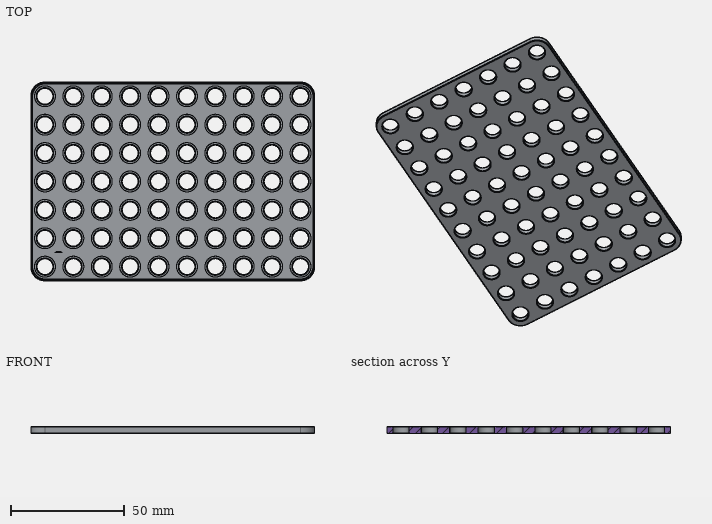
import cadquery as cq

pitch = 12.5
columns = 10
rows = 7
length = columns * pitch
width = rows * pitch
thickness = 3.1
corner_radius = pitch / 2

chamfer = 0.3
hole_diameter = 7.0

recess_depth = 0.2
border_width = 0.8
ring_land = 0.8
ring_diameter = hole_diameter + 2 * (chamfer + ring_land)

notch_base = 3.0
notch_top = 1.8
notch_height = 0.5
notch_depth = 0.2
notch_center_x = -length / 2 + pitch - 0.2
notch_center_y = -width / 2 + pitch + 0.1


def rounded_block(block_length, block_width, block_height, radius, bottom):
    """Block with rounded vertical edges whose lower face lies at Z = bottom."""
    return (
        cq.Workplane("XY", origin=(0, 0, bottom))
        .box(block_length, block_width, block_height, centered=(True, True, False))
        .edges("|Z")
        .fillet(radius)
    )


def cut_at_holes(body, cutter):
    """Cut a copy of the cutter, which is centred on the Z axis, at every hole position."""
    cutters = (
        cq.Workplane("XY")
        .rarray(pitch, pitch, columns, rows)
        .eachpoint(lambda location: cutter.val().moved(location))
    )
    return body.cut(cutters)


def make_plate():
    plate = rounded_block(length, width, thickness, corner_radius, 0)
    return plate.faces("<Z or >Z").edges().chamfer(chamfer)


def make_recess():
    """Thin layer to remove from the top face: inset from the plate edge and clear of the rings."""
    floor = thickness - recess_depth
    layer = rounded_block(
        length - 2 * border_width,
        width - 2 * border_width,
        recess_depth,
        corner_radius - border_width,
        floor,
    )
    ring = cq.Workplane("XY", origin=(0, 0, floor)).circle(ring_diameter / 2).extrude(recess_depth)
    return cut_at_holes(layer, ring)


def make_hole_cutter():
    """Straight bore through the plate with a chamfered mouth at each end."""
    bore_radius = hole_diameter / 2
    mouth_radius = bore_radius + chamfer
    profile = [
        (0, 0),
        (mouth_radius, 0),
        (bore_radius, chamfer),
        (bore_radius, thickness - chamfer),
        (mouth_radius, thickness),
        (0, thickness),
    ]
    return cq.Workplane("XZ").polyline(profile).close().revolve(360, (0, 0, 0), (0, 1, 0))


def make_notch():
    floor = thickness - recess_depth - notch_depth
    outline = [
        (-notch_base / 2, -notch_height / 2),
        (notch_base / 2, -notch_height / 2),
        (notch_top / 2, notch_height / 2),
        (-notch_top / 2, notch_height / 2),
    ]
    return (
        cq.Workplane("XY", origin=(notch_center_x, notch_center_y, floor))
        .polyline(outline)
        .close()
        .extrude(notch_depth)
    )


plate = make_plate().cut(make_recess())
plate = cut_at_holes(plate, make_hole_cutter())
result = plate.cut(make_notch())